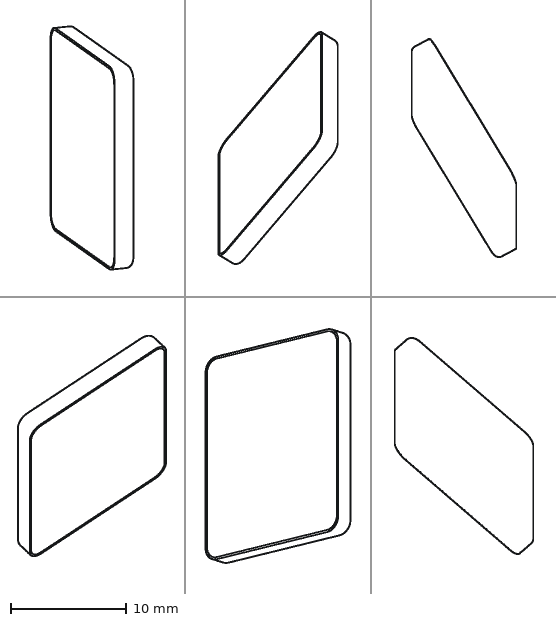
import cadquery as cq

width = 15.4
depth = 1.9
height = 18.3

wall = 0.2
corner_radius = 1.3
back_edge_radius = 0.5

cavity_corner_radius = corner_radius - wall
cavity_edge_radius = back_edge_radius - wall


def rounded_block(size_x, size_y, size_z, corner, back_edge):
    """Block centred in X and Z, from Y=0 back to size_y, with rounded corners and back edge."""
    block = cq.Workplane("XY").box(size_x, size_y, size_z, centered=(True, False, True))
    return block.edges("|Y").fillet(corner).faces(">Y").edges().fillet(back_edge)


body = rounded_block(width, depth, height, corner_radius, back_edge_radius)
cavity = rounded_block(
    width - 2 * wall,
    depth - wall,
    height - 2 * wall,
    cavity_corner_radius,
    cavity_edge_radius,
)

result = body.cut(cavity)